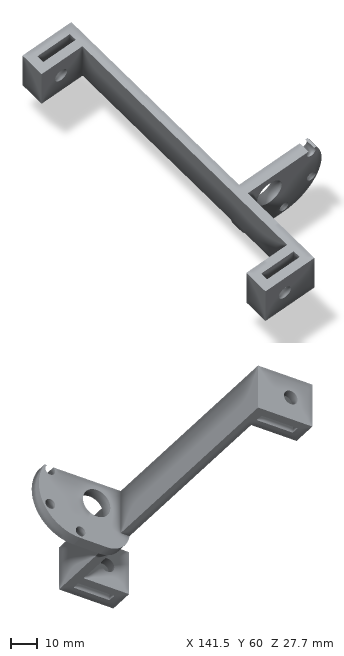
import cadquery as cq
import math

length = 141.5
frame_depth = 23.9
frame_height = 19.1
wall = 4.0
block_width = 11.2
beam_front = frame_depth - wall

slot_width = 3.4
slot_depth = 15.8
screw_diameter = 6.0
screw_y = 9.5

tab_height = 27.7
tab_thickness = 5.1
tab_left = 97.6
tab_radius = 18.4
tab_back = 60.0
tab_corner_radius = 9.9
arc_center_y = tab_back - tab_radius
arc_center_z = tab_radius - tab_height
bearing_diameter = 12.0
bearing_y = 34.5
pin_diameter = 4.2
pin_circle_radius = 15.4
pin_angles = (150, 210, 270)


def box(x, y, width, depth, height):
    """Box with its near-left corner at (x, y), hanging down from the top face."""
    return cq.Workplane("XY").box(width, depth, height, centered=False).translate((x, y, -height))


def bore(y, z, diameter):
    """Cylinder along X through the whole part."""
    return cq.Workplane("YZ").center(y, z).circle(diameter / 2).extrude(length)


def tab_blank(x, thickness):
    """Slab of the tab outline, extruded along X from the given position."""
    arc_top_y = arc_center_y + math.sqrt(tab_radius**2 - arc_center_z**2)
    diagonal = math.sqrt(0.5)
    corner_y = beam_front + tab_corner_radius
    corner_z = tab_corner_radius - tab_height
    return (
        cq.Workplane("YZ", origin=(x, 0, 0))
        .moveTo(beam_front, 0)
        .lineTo(arc_top_y, 0)
        .threePointArc(
            (arc_center_y + tab_radius * diagonal, arc_center_z - tab_radius * diagonal),
            (arc_center_y, -tab_height),
        )
        .lineTo(corner_y, -tab_height)
        .threePointArc(
            (corner_y - tab_corner_radius * diagonal, corner_z - tab_corner_radius * diagonal),
            (beam_front, corner_z),
        )
        .close()
        .extrude(thickness)
    )


def make_frame():
    beam = box(0, beam_front, length, wall, frame_height)
    frame = beam.intersect(tab_blank(0, length))
    for x in (0, length - block_width):
        frame = frame.union(box(x, 0, block_width, frame_depth, frame_height))
        slot_x = x + (block_width - slot_width) / 2
        slot_y = beam_front - slot_depth
        frame = frame.cut(box(slot_x, slot_y, slot_width, slot_depth, frame_height))
    return frame.cut(bore(screw_y, arc_center_z, screw_diameter))


def make_tab():
    tab = tab_blank(tab_left, tab_thickness)
    tab = tab.cut(bore(bearing_y, arc_center_z, bearing_diameter))
    for angle in pin_angles:
        a = math.radians(angle)
        pin_y = arc_center_y - pin_circle_radius * math.cos(a)
        pin_z = arc_center_z + pin_circle_radius * math.sin(a)
        tab = tab.cut(bore(pin_y, pin_z, pin_diameter))
    return tab


result = make_frame().union(make_tab())